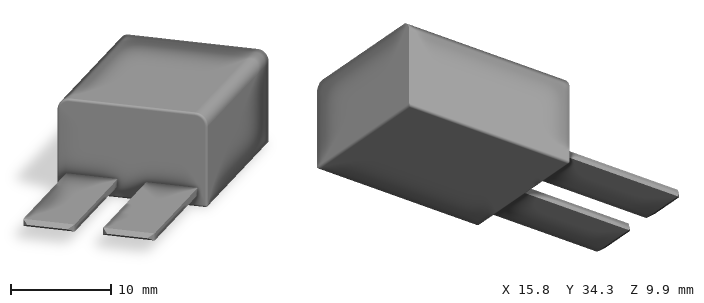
import cadquery as cq

overall_length = 34.3
body_width = 15.75
body_height = 9.9

body_length = 19.82
top_side_radius = 1.3
edge_radius = 0.25

blade_width = 5.4
blade_thickness = 0.75
blade_spacing = 8.35
blade_center_height = 1.65
blade_tip_length = 0.6
blade_embed = 0.7

back_y = overall_length / 2
tip_y = -overall_length / 2
front_y = back_y - body_length
blade_root_y = front_y + blade_embed
blade_shoulder_y = tip_y + blade_tip_length


def make_body():
    """Block with rounded edges; only its upright back edges stay sharp."""
    block = cq.Workplane("XY").box(body_width, body_length, body_height, centered=(True, True, False))
    block = block.translate((0, (front_y + back_y) / 2, 0))
    long_rounded = block.edges("|Y and >Z").fillet(top_side_radius)
    long_rounded = long_rounded.edges("|Y and <Z").fillet(edge_radius)
    front_rounded = long_rounded.faces("<Y").edges().fillet(edge_radius)
    back_rounded = block.edges("|X and >Y").fillet(edge_radius)
    return front_rounded.intersect(back_rounded)


def make_blade(center_x):
    """Flat blade tapering in width and thickness to a sharp tip edge."""
    half_width = blade_width / 2
    half_thickness = blade_thickness / 2
    tip_half_width = half_width - blade_tip_length

    plan = (
        cq.Workplane("XY")
        .polyline([
            (-half_width, blade_root_y),
            (-half_width, blade_shoulder_y),
            (-tip_half_width, tip_y),
            (tip_half_width, tip_y),
            (half_width, blade_shoulder_y),
            (half_width, blade_root_y),
        ])
        .close()
        .extrude(half_thickness, both=True)
    )
    side = (
        cq.Workplane("YZ")
        .polyline([
            (blade_root_y, half_thickness),
            (blade_shoulder_y, half_thickness),
            (tip_y, 0),
            (blade_shoulder_y, -half_thickness),
            (blade_root_y, -half_thickness),
        ])
        .close()
        .extrude(half_width, both=True)
    )
    return plan.intersect(side).translate((center_x, 0, blade_center_height))


result = make_body()
for side_sign in (-1, 1):
    result = result.union(make_blade(side_sign * blade_spacing / 2))